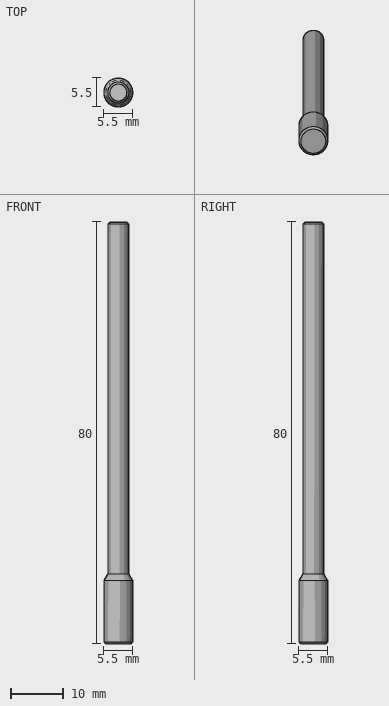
import cadquery as cq
import math

total_length = 80.0
shank_diameter = 4.0
head_diameter = 5.5
head_straight_length = 12.0
cone_half_angle = 30.0
shank_chamfer = 0.4
head_chamfer = 0.4

shank_radius = shank_diameter / 2
head_radius = head_diameter / 2
cone_height = (head_radius - shank_radius) / math.tan(math.radians(cone_half_angle))
head_length = head_straight_length + cone_height
shank_length = total_length - head_length


def make_head():
    """Thick lower body: a cylinder with a chamfered foot and a cone narrowing to the shank."""
    return (
        cq.Workplane("XZ")
        .moveTo(0, 0)
        .lineTo(head_radius - head_chamfer, 0)
        .lineTo(head_radius, head_chamfer)
        .lineTo(head_radius, head_straight_length)
        .lineTo(shank_radius, head_length)
        .lineTo(0, head_length)
        .close()
        .revolve(360, (0, 0, 0), (0, 1, 0))
    )


def make_shank():
    """Slender rod standing on the head, with a chamfered free end."""
    return (
        cq.Workplane("XY")
        .workplane(offset=head_length)
        .circle(shank_radius)
        .extrude(shank_length)
        .faces(">Z")
        .chamfer(shank_chamfer)
    )


head = make_head()
shank = make_shank()

result = cq.Compound.makeCompound([head.val(), shank.val()])